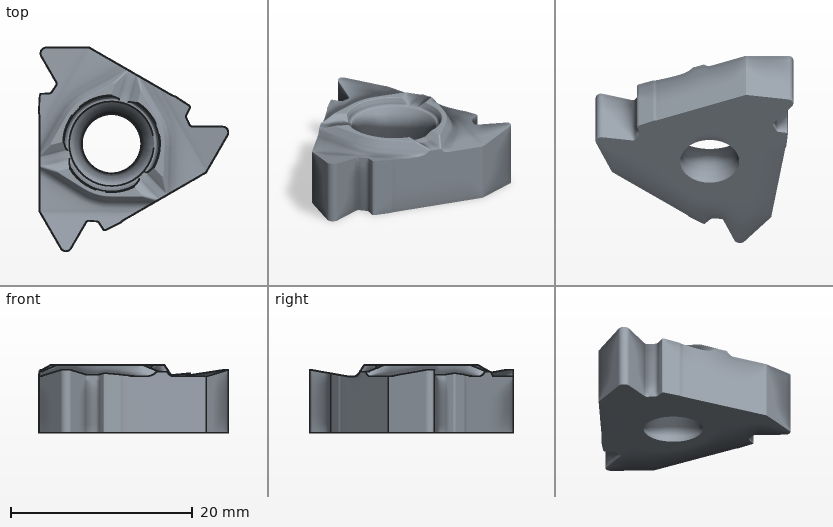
import cadquery as cq
import math

TEETH = 3
TOOTH_PITCH = 360 / TEETH
TOOTH_DIRECTION = -90

TOP_Z = 7.5
FLOOR_Z = 6.22
SLOT_FLOOR_Z = 6.74
SEAT_RIM_Z = SLOT_FLOOR_Z
THROAT_Z = 2.5

SIDE_DISTANCE = 7.94
FLANK_ANGLE = 30
TOOTH_APEX = (-5.015, -12.48)
TOOTH_TIP_RADIUS = 0.655
ROOT_START_Y = -8.47
ROOT_END = (-1.47, -8.56)
ROOT_START_RADIUS = 0.35
ROOT_END_RADIUS = 0.4
CREST_CORNER = (-0.86, -9.51)
CREST_LAND_END = (-0.62, -9.49)
CREST_RADIUS = 0.08
BUMP_HEIGHT = 0.07
BUMP_POSITION = 3.46
BUMP_RAMP = 0.33

RAKE_ANGLE = 10
RAKE_START = 7.53
RAKE_BLEND_RADIUS = 0.75
RAKE_REACH = 13.0
RAKE_HALF_WIDTH = 9.0

BOSS_TOP_DISTANCE = 5.81
BOSS_WALL_ANGLE = 57
BOSS_BLEND_RADIUS = 0.75
BOSS_TURN = 32
BOSS_CORNER_ROUNDING = 0.2
TOP_EDGE_ROUNDING = 0.1
DISC_RADIUS = 14.0
CUT_REACH = 16.0
CUT_CLEARANCE = 1.0

SLOT_DIRECTION = 194
SLOT_FLOOR_WIDTH = 0.89
SLOT_WALL_ANGLE = 38
SLOT_CORNER_RADIUS = 0.2
SLOT_START = 4.0
SLOT_LENGTH = 6.0

HOLE_RADIUS = 6.5 / 2
SEAT_RIM_RADIUS = 4.7
RECESS_FLOOR_RADIUS = 4.985
RECESS_TOP_RADIUS = 5.27
RECESS_CORNER_RADIUS = 0.2
SEAT_RIM_ROUNDING = 0.16


def around_axis(x, y, angle):
    """Turn a plan point about the part axis."""
    a = math.radians(angle)
    return (x * math.cos(a) - y * math.sin(a), x * math.sin(a) + y * math.cos(a))


def for_each_tooth(solid):
    """Unite copies of a solid, one per tooth."""
    copies = solid
    for i in range(1, TEETH):
        copies = copies.union(solid.rotate((0, 0, 0), (0, 0, 1), i * TOOTH_PITCH))
    return copies


def tooth_points():
    """Corner points of one tooth with the rounding radius of each, from the -X side onwards."""
    apex_x, apex_y = TOOTH_APEX
    flank_run = math.tan(math.radians(FLANK_ANGLE))
    shoulder = (-SIDE_DISTANCE, apex_y + (apex_x + SIDE_DISTANCE) / flank_run)
    root = (apex_x + (ROOT_START_Y - apex_y) * flank_run, ROOT_START_Y)
    bump_x = -SIDE_DISTANCE - BUMP_HEIGHT
    bump = around_axis(bump_x, BUMP_POSITION, TOOTH_PITCH)
    side_start = around_axis(-SIDE_DISTANCE, BUMP_POSITION - BUMP_RAMP, TOOTH_PITCH)
    return [
        (shoulder, 0),
        (TOOTH_APEX, TOOTH_TIP_RADIUS),
        (root, ROOT_START_RADIUS),
        (ROOT_END, ROOT_END_RADIUS),
        (CREST_CORNER, CREST_RADIUS),
        (CREST_LAND_END, CREST_RADIUS),
        (bump, 0),
        (side_start, 0),
    ]


def make_outline_prism():
    """Prism of the full outline, with the rounded corners of the teeth."""
    corners = []
    for i in range(TEETH):
        for (x, y), radius in tooth_points():
            corners.append((around_axis(x, y, i * TOOTH_PITCH), radius))
    prism = cq.Workplane("XY").polyline([point for point, _ in corners]).close().extrude(TOP_Z)
    pick = 0.01
    for (x, y), radius in corners:
        if radius > 0:
            low = (x - pick, y - pick, -pick)
            high = (x + pick, y + pick, TOP_Z + pick)
            corner_box = cq.selectors.BoxSelector(low, high)
            prism = prism.edges("|Z").edges(corner_box).fillet(radius)
    return prism


def boss_wall_profile(workplane):
    """Section of the material removed outside one boss wall: radius across, Z up."""
    slope = math.radians(BOSS_WALL_ANGLE)
    blend_drop = BOSS_BLEND_RADIUS * (1 - math.cos(slope))
    wall_end_z = FLOOR_Z + blend_drop
    wall_end_r = BOSS_TOP_DISTANCE + (TOP_Z - wall_end_z) / math.tan(slope)
    blend_end_r = wall_end_r + BOSS_BLEND_RADIUS * math.sin(slope)
    mid_r = blend_end_r - BOSS_BLEND_RADIUS * math.sin(slope / 2)
    mid_z = FLOOR_Z + BOSS_BLEND_RADIUS * (1 - math.cos(slope / 2))
    above = TOP_Z + CUT_CLEARANCE
    start_r = BOSS_TOP_DISTANCE - CUT_CLEARANCE / math.tan(slope)
    return (
        workplane.moveTo(start_r, above)
        .lineTo(wall_end_r, wall_end_z)
        .threePointArc((mid_r, mid_z), (blend_end_r, FLOOR_Z))
        .lineTo(CUT_REACH, FLOOR_Z)
        .lineTo(CUT_REACH, above)
        .close()
    )


def make_boss_surround():
    """Everything removed around the boss down to the floor, for one tooth."""
    turn_start = TOOTH_DIRECTION - BOSS_TURN
    axis = ((0, 0, 0), (0, 0, 1))
    first = boss_wall_profile(cq.Workplane("XZ")).extrude(CUT_REACH)
    last = boss_wall_profile(cq.Workplane("XZ")).extrude(-CUT_REACH)
    turn = boss_wall_profile(cq.Workplane("XZ")).revolve(BOSS_TURN, (0, 0, 0), (0, 1, 0))
    turn = turn.rotate(*axis, turn_start)
    return first.rotate(*axis, turn_start).union(turn).union(last.rotate(*axis, TOOTH_DIRECTION))


def make_rake():
    """Material kept under the rake face of the tooth that points towards -Y."""
    slope = math.radians(RAKE_ANGLE)
    blend_half = RAKE_BLEND_RADIUS * math.tan(slope / 2)
    start = RAKE_START - blend_half
    mid_y = start + RAKE_BLEND_RADIUS * math.sin(slope / 2)
    mid_z = FLOOR_Z + RAKE_BLEND_RADIUS * (1 - math.cos(slope / 2))
    end_y = start + RAKE_BLEND_RADIUS * math.sin(slope)
    end_z = FLOOR_Z + RAKE_BLEND_RADIUS * (1 - math.cos(slope))
    reach_z = end_z + (RAKE_REACH - end_y) * math.tan(slope)
    below = FLOOR_Z - CUT_CLEARANCE
    return (
        cq.Workplane("YZ")
        .moveTo(-start, FLOOR_Z)
        .threePointArc((-mid_y, mid_z), (-end_y, end_z))
        .lineTo(-RAKE_REACH, reach_z)
        .lineTo(-RAKE_REACH, below)
        .lineTo(-start, below)
        .close()
        .extrude(RAKE_HALF_WIDTH, both=True)
    )


def make_slot():
    """Radial slot with sloping walls and rounded floor corners."""
    depth = TOP_Z + CUT_CLEARANCE - SLOT_FLOOR_Z
    slope = math.radians(SLOT_WALL_ANGLE)
    floor_half = SLOT_FLOOR_WIDTH / 2 + SLOT_CORNER_RADIUS * math.tan(slope / 2)
    top_half = floor_half + depth / math.tan(slope)
    above = SLOT_FLOOR_Z + depth
    slot = (
        cq.Workplane("YZ", origin=(SLOT_START, 0, 0))
        .polyline([
            (-floor_half, SLOT_FLOOR_Z),
            (floor_half, SLOT_FLOOR_Z),
            (top_half, above),
            (-top_half, above),
        ])
        .close()
        .extrude(SLOT_LENGTH)
        .faces("<Z").edges("|X").fillet(SLOT_CORNER_RADIUS)
    )
    return slot.rotate((0, 0, 0), (0, 0, 1), SLOT_DIRECTION)


def circle_edge(solid, radius, height):
    """The full circular edge of a given radius and height."""
    tolerance = 1e-4
    for edge in solid.edges("%CIRCLE").vals():
        same_radius = abs(edge.radius() - radius) < tolerance
        if same_radius and abs(edge.Center().z - height) < tolerance:
            return edge
    raise ValueError("no such edge")


def make_screw_hole():
    """Straight throat, flared seat tangent to it, then the conical recess."""
    rise = SEAT_RIM_Z - THROAT_Z
    flare = SEAT_RIM_RADIUS - HOLE_RADIUS
    half_sweep = math.atan2(flare, rise)
    seat_radius = rise / math.sin(2 * half_sweep)
    mid_r = HOLE_RADIUS + seat_radius * (1 - math.cos(half_sweep))
    mid_z = THROAT_Z + seat_radius * math.sin(half_sweep)
    hole = (
        cq.Workplane("XZ")
        .lineTo(HOLE_RADIUS, 0)
        .lineTo(HOLE_RADIUS, THROAT_Z)
        .threePointArc((mid_r, mid_z), (SEAT_RIM_RADIUS, SEAT_RIM_Z))
        .lineTo(RECESS_FLOOR_RADIUS, SEAT_RIM_Z)
        .lineTo(RECESS_TOP_RADIUS, TOP_Z)
        .lineTo(0, TOP_Z)
        .close()
        .revolve(360, (0, 0, 0), (0, 1, 0))
    )
    rim_edge = circle_edge(hole, SEAT_RIM_RADIUS, SEAT_RIM_Z)
    hole = hole.newObject([rim_edge]).fillet(SEAT_RIM_ROUNDING)
    corner_edge = circle_edge(hole, RECESS_FLOOR_RADIUS, SEAT_RIM_Z)
    return hole.newObject([corner_edge]).fillet(RECESS_CORNER_RADIUS)


def boss_corner_edges(relief):
    """The sloping edges where the slot walls meet the boss walls: from the top to the slot floor."""
    tolerance = 1e-3
    chosen = []
    for edge in relief.edges("%LINE").vals():
        box = edge.BoundingBox()
        reaches_top = abs(box.zmax - TOP_Z) < tolerance
        ends_at_slot = SLOT_FLOOR_Z - tolerance < box.zmin < TOP_Z - tolerance
        if reaches_top and ends_at_slot:
            chosen.append(edge)
    return relief.newObject(chosen)


def make_relief():
    """Round stock with the boss, rake faces and slots formed on its top."""
    surround = for_each_tooth(make_boss_surround()).cut(for_each_tooth(make_rake()))
    stock = cq.Workplane("XY").circle(DISC_RADIUS).extrude(TOP_Z)
    relief = stock.cut(surround).cut(for_each_tooth(make_slot()))
    return boss_corner_edges(relief).fillet(BOSS_CORNER_ROUNDING)


insert = make_relief().intersect(make_outline_prism()).cut(make_screw_hole())
result = insert.faces(">Z").edges().fillet(TOP_EDGE_ROUNDING)